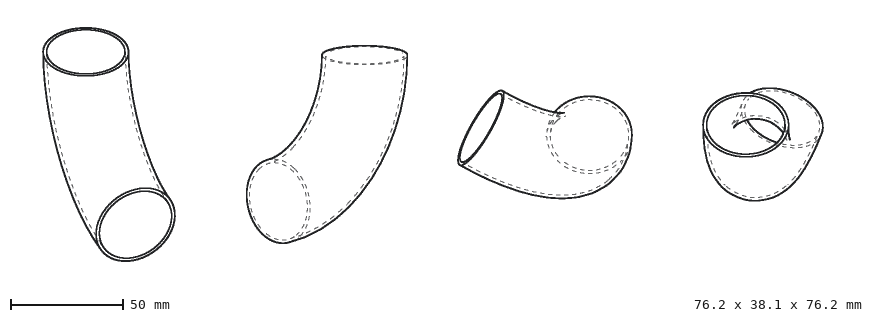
import cadquery as cq

overall_size = 76.2
outer_diameter = 38.1
wall_thickness = 1.6
bend_angle = 90.0

outer_radius = outer_diameter / 2
inner_radius = outer_radius - wall_thickness
bend_radius = overall_size - outer_radius

ring = cq.Workplane("XY").circle(outer_radius).circle(inner_radius)
result = ring.revolve(bend_angle, (bend_radius, 0, 0), (bend_radius, -1, 0))